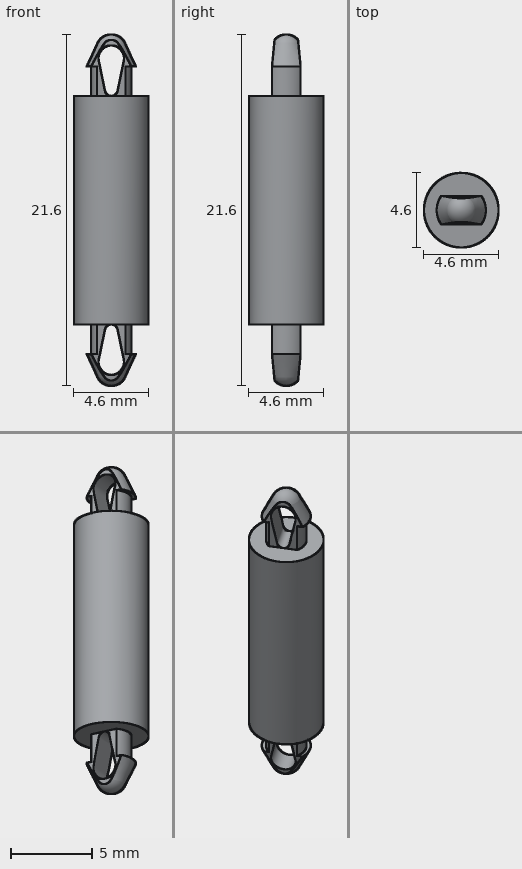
import cadquery as cq
import math

total_length = 21.6
body_diameter = 4.6
clip_height = 3.78
body_length = total_length - 2 * clip_height

post_radius = 1.25
barb_radius = 1.51
barb_height = 1.81
dome_base_radius = 0.85
dome_base_height = 3.26
clip_thickness = 1.77
tip_thickness = 1.5

slot_top_radius = 0.78
slot_bottom_radius = 0.39
slot_top_height = 3.09


def make_clip_profile():
    """Revolved post, barbed cone and spherical dome."""
    dome_rise = clip_height - dome_base_height
    dome_radius = (dome_base_radius**2 + dome_rise**2) / (2 * dome_rise)
    half_angle = math.asin(dome_base_radius / dome_radius) / 2
    dome_middle = (
        dome_radius * math.sin(half_angle),
        clip_height - dome_radius * (1 - math.cos(half_angle)),
    )
    return (
        cq.Workplane("XZ")
        .lineTo(post_radius, 0)
        .lineTo(post_radius, barb_height)
        .lineTo(barb_radius, barb_height)
        .lineTo(dome_base_radius, dome_base_height)
        .threePointArc(dome_middle, (0, clip_height))
        .close()
        .revolve(360, (0, 0), (0, 1))
    )


def make_flat_sides():
    """Slab with parallel sides along the post and tapered sides on the head."""
    half_base = clip_thickness / 2
    half_tip = tip_thickness / 2
    taper = (half_base - half_tip) / (dome_base_height - barb_height)
    half_end = half_base - taper * (clip_height - barb_height)
    return (
        cq.Workplane("YZ")
        .polyline([
            (-half_base, 0),
            (half_base, 0),
            (half_base, barb_height),
            (half_end, clip_height),
            (-half_end, clip_height),
            (-half_base, barb_height),
        ])
        .close()
        .extrude(barb_radius, both=True)
    )


def make_slot():
    """Teardrop cutter: two arcs joined by their common tangents."""
    top_center = slot_top_height - slot_top_radius
    bottom_center = slot_bottom_radius
    tangent_sine = (slot_top_radius - slot_bottom_radius) / (top_center - bottom_center)
    tangent_cosine = math.sqrt(1 - tangent_sine**2)
    top_x = slot_top_radius * tangent_cosine
    top_z = top_center - slot_top_radius * tangent_sine
    bottom_x = slot_bottom_radius * tangent_cosine
    bottom_z = bottom_center - slot_bottom_radius * tangent_sine
    return (
        cq.Workplane("XZ")
        .moveTo(bottom_x, bottom_z)
        .lineTo(top_x, top_z)
        .threePointArc((0, slot_top_height), (-top_x, top_z))
        .lineTo(-bottom_x, bottom_z)
        .threePointArc((0, 0), (bottom_x, bottom_z))
        .close()
        .extrude(clip_thickness, both=True)
    )


body = cq.Workplane("XY").cylinder(body_length, body_diameter / 2)
clip = make_clip_profile().intersect(make_flat_sides()).cut(make_slot())
top_clip = clip.translate((0, 0, body_length / 2))
bottom_clip = top_clip.mirror("XY")

result = body.union(top_clip).union(bottom_clip)